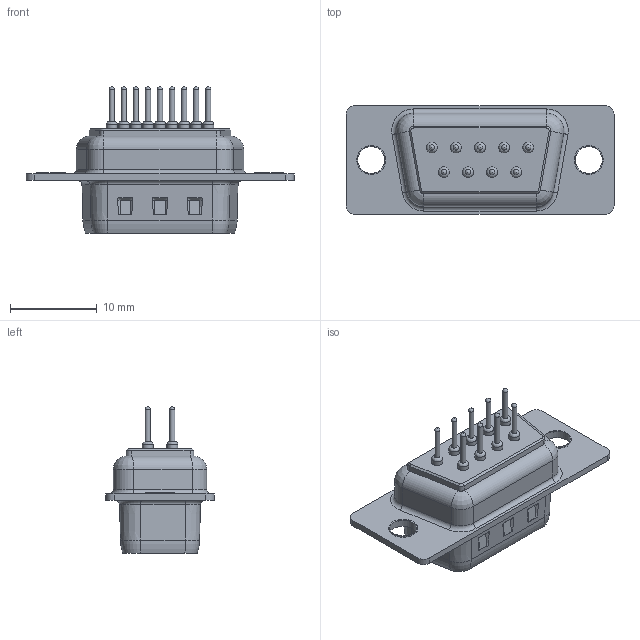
import cadquery as cq
import math

FLANGE_LENGTH = 30.81
FLANGE_WIDTH = 12.5
FLANGE_THICKNESS = 0.75
FLANGE_CORNER_RADIUS = 1.0

HOLE_SPACING = 25.0
HOLE_RADIUS = 1.55
RIM_RADIUS = 1.66
RIM_HEIGHT = 0.16

SIDE_ANGLE = math.radians(10)
FLARE_RADIUS = 0.5

REAR_HALF_LENGTH = 9.08
REAR_HALF_WIDTH = 5.37
REAR_HEIGHT = 4.33
REAR_CORNER_RADIUS = 2.0
REAR_TOP_RADIUS = 1.5

INSULATOR_HEIGHT = 0.87
INSULATOR_CHAMFER = 0.2

MATING_HALF_LENGTH = 8.57
MATING_HALF_WIDTH = 4.67
MATING_CORNER_RADIUS = 2.1
MATING_DEPTH = 6.05
MATING_DRAFT = math.radians(1.6)
NOSE_DEPTH = 1.5
NOSE_INSET = 0.28
NOSE_SECTIONS = 3

DIMPLE_COUNT = 3
DIMPLE_PITCH = 4.0
DIMPLE_FLOOR_WIDTH = 1.16
DIMPLE_FLOOR_TOP_Z = -2.25
DIMPLE_MOUTH_TOP_WIDTH = 1.8
DIMPLE_MOUTH_BOTTOM_WIDTH = 1.5
DIMPLE_MOUTH_TOP_Z = -2.0
DIMPLE_BOTTOM_Z = -3.92
DIMPLE_TOP_DEPTH = 0.27
DIMPLE_BOTTOM_DEPTH = 0.03
DIMPLE_CORNER_RADIUS = 0.2

PIN_PITCH = 2.77
PIN_ROW_SPACING = 2.84
LONG_ROW_PINS = 5
SHORT_ROW_PINS = 4
PIN_RADIUS = 0.3
PIN_HEIGHT = 4.8
COLLAR_RADIUS = 0.62
COLLAR_HEIGHT = 0.82

REAR_TOP_Z = FLANGE_THICKNESS + REAR_HEIGHT
INSULATOR_TOP_Z = REAR_TOP_Z + INSULATOR_HEIGHT


def d_outline(z, half_length, half_width, corner_radius, inset=0.0):
    """Rounded trapezoid wire at height z, long side toward +Y, moved inward by inset."""
    side = half_length - inset / math.cos(SIDE_ANGLE)
    width = half_width - inset
    radius = corner_radius - inset
    slope = math.tan(SIDE_ANGLE)

    centre_y = width - radius
    side_at_centres = side - radius / math.cos(SIDE_ANGLE)
    far_x = side_at_centres + centre_y * slope
    near_x = side_at_centres - centre_y * slope

    def on_arc(centre_x, arc_centre_y, angle):
        return (centre_x + radius * math.cos(angle), arc_centre_y + radius * math.sin(angle))

    def mirrored(point):
        return (-point[0], point[1])

    far_middle = on_arc(far_x, centre_y, (math.pi / 2 - SIDE_ANGLE) / 2)
    far_side = on_arc(far_x, centre_y, -SIDE_ANGLE)
    near_side = on_arc(near_x, -centre_y, -SIDE_ANGLE)
    near_middle = on_arc(near_x, -centre_y, -(math.pi / 2 + SIDE_ANGLE) / 2)

    return (
        cq.Workplane("XY", origin=(0, 0, z))
        .moveTo(-far_x, width)
        .lineTo(far_x, width)
        .threePointArc(far_middle, far_side)
        .lineTo(*near_side)
        .threePointArc(near_middle, (near_x, -width))
        .lineTo(-near_x, -width)
        .threePointArc(mirrored(near_middle), mirrored(near_side))
        .lineTo(*mirrored(far_side))
        .threePointArc(mirrored(far_middle), (-far_x, width))
        .close()
        .val()
    )


def rear_outline(z, inset=0.0):
    return d_outline(z, REAR_HALF_LENGTH, REAR_HALF_WIDTH, REAR_CORNER_RADIUS, inset)


def mating_outline(z, inset=0.0):
    return d_outline(z, MATING_HALF_LENGTH, MATING_HALF_WIDTH, MATING_CORNER_RADIUS, inset)


def extruded(wire, height):
    return cq.Workplane(cq.Solid.extrudeLinear(wire, [], cq.Vector(0, 0, height)))


def flange():
    plate = cq.Workplane("XY").box(
        FLANGE_LENGTH, FLANGE_WIDTH, FLANGE_THICKNESS, centered=(True, True, False)
    )
    return plate.edges("|Z").fillet(FLANGE_CORNER_RADIUS)


def rear_shell():
    shell = extruded(rear_outline(0), REAR_TOP_Z)
    return shell.faces(">Z").edges().fillet(REAR_TOP_RADIUS)


def insulator():
    block = extruded(rear_outline(REAR_TOP_Z, REAR_TOP_RADIUS), INSULATOR_HEIGHT)
    return block.faces(">Z").edges().chamfer(INSULATOR_CHAMFER)


def mating_shell():
    nose_z = NOSE_DEPTH - MATING_DEPTH
    wall_inset = -nose_z * math.tan(MATING_DRAFT)
    nose_outline = mating_outline(nose_z, wall_inset)
    wall = cq.Solid.makeLoft([mating_outline(0), nose_outline], True)

    nose_wires = [nose_outline]
    for section in range(1, NOSE_SECTIONS + 1):
        fraction = section / NOSE_SECTIONS
        inset = wall_inset + NOSE_INSET * fraction**2
        nose_wires.append(mating_outline(nose_z - NOSE_DEPTH * fraction, inset))
    nose = cq.Solid.makeLoft(nose_wires, False)
    return cq.Workplane(wall).union(cq.Workplane(nose))


def shell_roots(body):
    """Blend both shells into the flange faces."""
    reach_x = FLANGE_LENGTH / 2 - FLANGE_CORNER_RADIUS
    reach_y = FLANGE_WIDTH / 2 - FLARE_RADIUS / 2
    margin_z = FLANGE_THICKNESS / 4
    for z in (FLANGE_THICKNESS, 0):
        lower = (-reach_x, -reach_y, z - margin_z)
        upper = (reach_x, reach_y, z + margin_z)
        root_edges = cq.selectors.BoxSelector(lower, upper, boundingbox=True)
        body = body.edges(root_edges).fillet(FLARE_RADIUS)
    return body


def mating_wall_y(z):
    """Y of the drafted -Y wall of the mating shell at height z."""
    return -MATING_HALF_WIDTH - z * math.tan(MATING_DRAFT)


def trapezoid_wire(bottom_width, bottom, top_width, top):
    """Upright four-sided wire; bottom and top are the (y, z) of its two level edges."""
    corners = [
        cq.Vector(-bottom_width / 2, *bottom),
        cq.Vector(bottom_width / 2, *bottom),
        cq.Vector(top_width / 2, *top),
        cq.Vector(-top_width / 2, *top),
    ]
    return cq.Wire.makePolygon(corners, close=True)


def dimple():
    """Shallow pocket cutter with splayed side and top walls; its floor is deepest at the top."""
    bottom_wall_y = mating_wall_y(DIMPLE_BOTTOM_Z)
    floor = trapezoid_wire(
        DIMPLE_FLOOR_WIDTH,
        (bottom_wall_y + DIMPLE_BOTTOM_DEPTH, DIMPLE_BOTTOM_Z),
        DIMPLE_FLOOR_WIDTH,
        (mating_wall_y(DIMPLE_FLOOR_TOP_Z) + DIMPLE_TOP_DEPTH, DIMPLE_FLOOR_TOP_Z),
    )
    mouth = trapezoid_wire(
        DIMPLE_MOUTH_BOTTOM_WIDTH,
        (bottom_wall_y, DIMPLE_BOTTOM_Z),
        DIMPLE_MOUTH_TOP_WIDTH,
        (mating_wall_y(DIMPLE_MOUTH_TOP_Z), DIMPLE_MOUTH_TOP_Z),
    )
    cutter = cq.Workplane(cq.Solid.makeLoft([floor, mouth], True))

    corner_zone = cq.selectors.BoxSelector(
        (-DIMPLE_MOUTH_TOP_WIDTH, -FLANGE_WIDTH, DIMPLE_FLOOR_TOP_Z),
        (DIMPLE_MOUTH_TOP_WIDTH, 0, 0),
    )
    return cutter.edges(corner_zone).edges("not(|X)").fillet(DIMPLE_CORNER_RADIUS)


def centred_positions(count, pitch):
    return [(index - (count - 1) / 2) * pitch for index in range(count)]


def pin():
    """Pin with a hemispherical tip; the collar's shoulder is rounded in to the pin's side."""
    shoulder_radius = COLLAR_RADIUS - PIN_RADIUS
    shoulder_base = COLLAR_HEIGHT - shoulder_radius
    tip_base = PIN_HEIGHT - PIN_RADIUS
    arc_middle = math.sqrt(0.5)
    return (
        cq.Workplane("XZ")
        .moveTo(0, -INSULATOR_HEIGHT)
        .lineTo(COLLAR_RADIUS, -INSULATOR_HEIGHT)
        .lineTo(COLLAR_RADIUS, shoulder_base)
        .threePointArc(
            (PIN_RADIUS + shoulder_radius * arc_middle, shoulder_base + shoulder_radius * arc_middle),
            (PIN_RADIUS, COLLAR_HEIGHT),
        )
        .lineTo(PIN_RADIUS, tip_base)
        .threePointArc(
            (PIN_RADIUS * arc_middle, tip_base + PIN_RADIUS * arc_middle),
            (0, PIN_HEIGHT),
        )
        .close()
        .revolve(360, (0, 0), (0, 1))
    )


def mounting_holes(body):
    centres = [(x, 0) for x in centred_positions(2, HOLE_SPACING)]
    rim_top = FLANGE_THICKNESS + RIM_HEIGHT
    rims = cq.Workplane("XY").pushPoints(centres).circle(RIM_RADIUS).extrude(rim_top)
    holes = cq.Workplane("XY").pushPoints(centres).circle(HOLE_RADIUS).extrude(rim_top)
    return body.union(rims).cut(holes)


body = flange().union(rear_shell()).union(mating_shell())
body = shell_roots(body)
body = body.union(insulator())
body = mounting_holes(body)

for dimple_x in centred_positions(DIMPLE_COUNT, DIMPLE_PITCH):
    body = body.cut(dimple().translate((dimple_x, 0, 0)))

pin_rows = ((LONG_ROW_PINS, PIN_ROW_SPACING / 2), (SHORT_ROW_PINS, -PIN_ROW_SPACING / 2))
for pin_count, row_y in pin_rows:
    for pin_x in centred_positions(pin_count, PIN_PITCH):
        body = body.union(pin().translate((pin_x, row_y, INSULATOR_TOP_Z)))

result = body